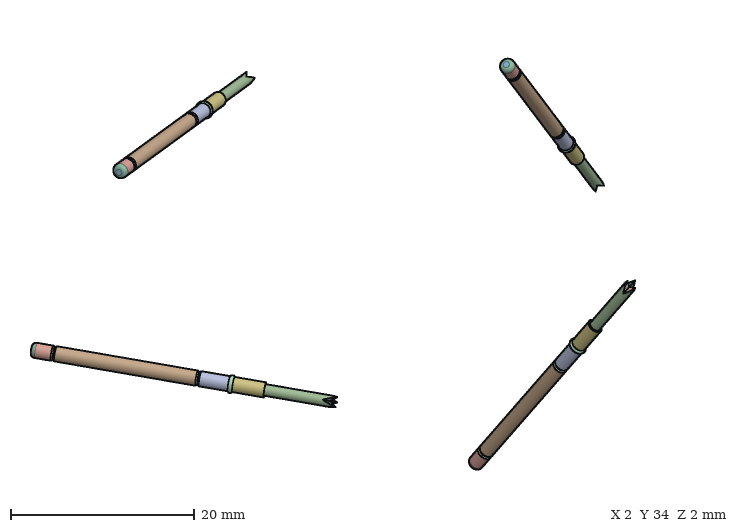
import cadquery as cq
import math


plunger_radius = 0.65
plunger_length = 8.0
plunger_overlap = 0.5
crown_points = 3
crown_depth = 1.5

barrel_radius = 0.85
barrel_length = 26.0
end_round = 0.5

ring_radius = 1.0
ring_width = 0.5
ring_center_y = -3.75

groove_width = 0.4
groove_depth = 0.15
groove_centers_y = (-7.4, -23.5)


def cylinder(radius, y_start, length):
    """Cylinder around the Y axis, growing toward +Y from y_start."""
    return cq.Workplane(cq.Solid.makeCylinder(radius, length, cq.Vector(0, y_start, 0), cq.Vector(0, 1, 0)))


def revolve_about_y(profile):
    """Full turn of an XY profile around the Y axis."""
    return profile.close().revolve(360, (0, 0, 0), (0, 1, 0))


def make_barrel():
    """Solid barrel with its closed end rounded."""
    return cylinder(barrel_radius, -barrel_length, barrel_length).faces("<Y").edges().fillet(end_round)


def make_press_ring():
    """Bulged ring that stops the barrel in its seat."""
    half_width = ring_width / 2
    profile = (
        cq.Workplane("XY")
        .moveTo(0, ring_center_y - half_width)
        .lineTo(barrel_radius, ring_center_y - half_width)
        .threePointArc((ring_radius, ring_center_y), (barrel_radius, ring_center_y + half_width))
        .lineTo(0, ring_center_y + half_width)
    )
    return revolve_about_y(profile)


def make_groove(center_y):
    """Cutter for a V-shaped crimp groove around the barrel."""
    half_width = groove_width / 2
    profile = (
        cq.Workplane("XY")
        .moveTo(barrel_radius, center_y - half_width)
        .lineTo(barrel_radius - groove_depth, center_y)
        .lineTo(barrel_radius, center_y + half_width)
    )
    return revolve_about_y(profile)


def make_notch(angle):
    """Cutter for one V notch, its floor falling from the axis to the plunger side.

    Its flanks pass through the two neighbouring crown tips.
    """
    half_pitch = math.pi / crown_points
    axis_depth = crown_depth / 2
    floor_fall = (crown_depth - axis_depth) / plunger_radius
    tip_distance = plunger_radius * math.cos(half_pitch)
    tip_offset = plunger_radius * math.sin(half_pitch)
    flank_slope = (axis_depth + floor_fall * tip_distance) / tip_offset

    reach = 2 * plunger_radius
    height = flank_slope * reach
    floor_y = plunger_length - axis_depth
    corners = [
        cq.Vector(0, floor_y, 0),
        cq.Vector(0, floor_y + height, reach),
        cq.Vector(0, floor_y + height, -reach),
    ]
    v_outline = cq.Wire.makePolygon(corners, close=True)
    floor_run = cq.Vector(reach, -floor_fall * reach, 0)
    notch = cq.Solid.extrudeLinear(v_outline, [], floor_run)
    return cq.Workplane(notch.rotate(cq.Vector(0, 0, 0), cq.Vector(0, 1, 0), angle))


def make_plunger():
    """Plunger rod with a crown of sharp points, one of them on the +X side."""
    plunger = cylinder(plunger_radius, -plunger_overlap, plunger_length + plunger_overlap)
    pitch = 360 / crown_points
    for index in range(crown_points):
        plunger = plunger.cut(make_notch(pitch * (index + 0.5)))
    return plunger


barrel = make_barrel().union(make_press_ring())
for groove_y in groove_centers_y:
    barrel = barrel.cut(make_groove(groove_y))

result = barrel.union(make_plunger())